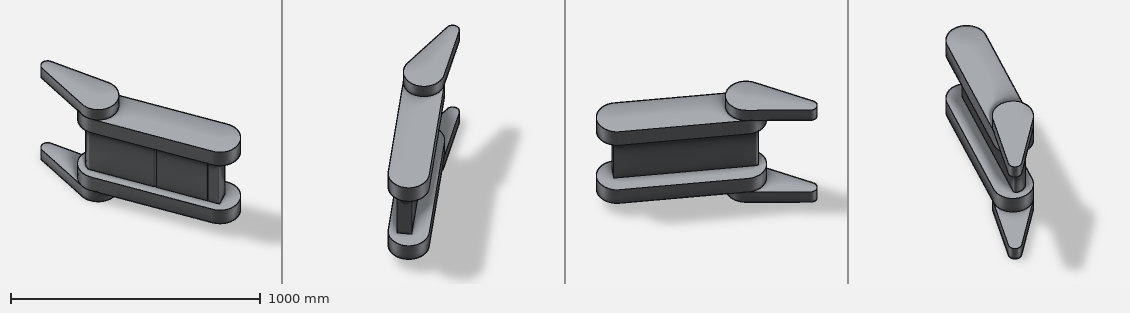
import cadquery as cq
import math

WEB_HEIGHT = 252.0
PLATE_THICKNESS = 77.0
LEVER_THICKNESS = 58.0
PLATE_INNER_Z = WEB_HEIGHT / 2
PLATE_OUTER_Z = PLATE_INNER_Z + PLATE_THICKNESS

LENGTH = 880.0
WIDTH = 196.0
END_RADIUS = 83.0
PLATE_CENTERS = 521.0
TIP_RADIUS = 27.0
TIP_X = -(LENGTH - PLATE_CENTERS - END_RADIUS - TIP_RADIUS)
TIP_Y = WIDTH - END_RADIUS - TIP_RADIUS

NOSE_RADIUS = 51.0
BACK_Y = 14.0
FRONT_Y = -45.0
BLEND_RADIUS = 16.0
FIRST_LIP_END = 265.0
FIRST_LIP_RADIUS = 11.0
SECOND_LIP_END = 485.0
SECOND_LIP_RADIUS = 5.0
WEB_END = 536.0
WEB_END_RADIUS = 3.5


def polar(center, radius, angle):
    """Point on a circle, with the angle in radians."""
    return (center[0] + radius * math.cos(angle), center[1] + radius * math.sin(angle))


def make_plate(bottom_z):
    """Round-ended plate lying along X."""
    slot_length = PLATE_CENTERS + 2 * END_RADIUS
    return (
        cq.Workplane("XY", origin=(PLATE_CENTERS / 2, 0, bottom_z))
        .slot2D(slot_length, 2 * END_RADIUS)
        .extrude(PLATE_THICKNESS)
    )


def make_lever(bottom_z):
    """Teardrop lever: two circles joined by their outer tangents."""
    pivot = (0, 0)
    tip = (TIP_X, TIP_Y)
    direction = math.atan2(TIP_Y, TIP_X)
    half_angle = math.acos((END_RADIUS - TIP_RADIUS) / math.hypot(TIP_X, TIP_Y))
    upper = direction - half_angle
    lower = direction + half_angle
    return (
        cq.Workplane("XY", origin=(0, 0, bottom_z))
        .moveTo(*polar(pivot, END_RADIUS, upper))
        .lineTo(*polar(tip, TIP_RADIUS, upper))
        .threePointArc(polar(tip, TIP_RADIUS, direction), polar(tip, TIP_RADIUS, lower))
        .lineTo(*polar(pivot, END_RADIUS, lower))
        .threePointArc(polar(pivot, END_RADIUS, direction + math.pi), polar(pivot, END_RADIUS, upper))
        .close()
        .extrude(LEVER_THICKNESS)
    )


def add_lip(profile, end_x, radius):
    """Run along the front face and round its corner back to end_x."""
    center = (end_x - radius, FRONT_Y + radius)
    return (
        profile.lineTo(center[0], FRONT_Y)
        .threePointArc(polar(center, radius, -math.pi / 4), (end_x, center[1]))
    )


def make_web():
    """Upright web with a rounded nose and two grooves in its front face."""
    back_center = (BACK_Y - NOSE_RADIUS, 0)
    blend_y = FRONT_Y + BLEND_RADIUS
    blend_x = -math.sqrt((NOSE_RADIUS - BLEND_RADIUS) ** 2 - blend_y ** 2)
    blend_center = (blend_x, blend_y)
    blend_angle = math.atan2(blend_y, blend_x)
    nose_middle_angle = (blend_angle - math.pi) / 2
    blend_middle_angle = (blend_angle - math.pi / 2) / 2

    profile = (
        cq.Workplane("XY", origin=(0, 0, -WEB_HEIGHT / 2))
        .moveTo(back_center[0], BACK_Y)
        .threePointArc(polar(back_center, BACK_Y, 3 * math.pi / 4), (-NOSE_RADIUS, 0))
        .threePointArc(
            polar((0, 0), NOSE_RADIUS, nose_middle_angle),
            polar((0, 0), NOSE_RADIUS, blend_angle),
        )
        .threePointArc(polar(blend_center, BLEND_RADIUS, blend_middle_angle), (blend_x, FRONT_Y))
    )
    for lip_end, lip_radius in (
        (FIRST_LIP_END, FIRST_LIP_RADIUS),
        (SECOND_LIP_END, SECOND_LIP_RADIUS),
    ):
        profile = add_lip(profile, lip_end, lip_radius).lineTo(lip_end, FRONT_Y)
    profile = add_lip(profile, WEB_END, WEB_END_RADIUS)
    return profile.lineTo(WEB_END, BACK_Y).close().extrude(WEB_HEIGHT)


link = make_web()
for plate_z in (PLATE_INNER_Z, -PLATE_OUTER_Z):
    link = link.union(make_plate(plate_z))

levers = []
for lever_z in (PLATE_OUTER_Z, -PLATE_OUTER_Z - LEVER_THICKNESS):
    levers.append(make_lever(lever_z).val())

result = cq.Compound.makeCompound([link.val(), *levers])